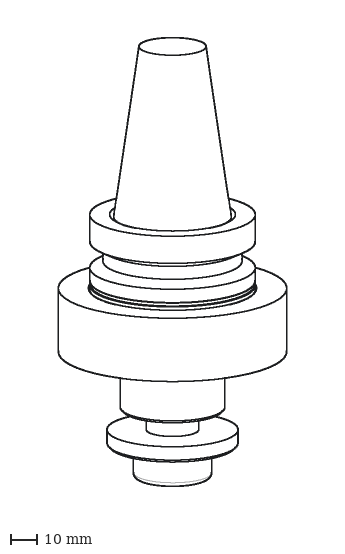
import cadquery as cq

total_height = 169.9
flange_top = 103.6
flange_bottom = 74.6
collar_bottom = 49.6
pilot_bottom = 26.7
washer_top = 18.9
washer_bottom = 12.5

taper_small_diameter = 25.7
taper_large_diameter = 44.9
flange_diameter = 63.0
grip_groove_diameter = 53.0
relief_diameter = 62.5
collar_diameter = 87.0
pilot_neck_diameter = 39.2
pilot_diameter = 40.0
stem_diameter = 20.0
washer_diameter = 50.0
screw_head_diameter = 29.9

recess_diameter = 47.9
recess_depth = 0.8

collar_recess_diameter = 64.0
collar_recess_depth = (collar_recess_diameter - flange_diameter) / 2

upper_rim_height = 10.7
groove_slope_height = 2.5
groove_floor_height = 5.1
relief_top = 77.5
relief_bottom = 75.8
relief_slope_height = (flange_diameter - relief_diameter) / 2

pilot_neck_height = 1.5
pilot_step_height = 1.0
pilot_step_width = (pilot_diameter - pilot_neck_diameter) / 2
pilot_chamfer = 1.0
washer_chamfer = 1.0
screw_head_fillet = 2.0


def cylinder(diameter, bottom, top):
    """Solid cylinder on the Z axis between two heights."""
    return cq.Workplane("XY").workplane(offset=bottom).circle(diameter / 2).extrude(top - bottom)


def make_shank():
    """Taper and grooved flange, revolved from one half profile."""
    rim_bottom = flange_top - upper_rim_height
    groove_top = rim_bottom - groove_slope_height
    groove_bottom = groove_top - groove_floor_height
    lower_rim_top = groove_bottom - groove_slope_height
    profile = [
        (0, flange_bottom),
        (flange_diameter / 2, flange_bottom),
        (flange_diameter / 2, relief_bottom),
        (relief_diameter / 2, relief_bottom + relief_slope_height),
        (relief_diameter / 2, relief_top - relief_slope_height),
        (flange_diameter / 2, relief_top),
        (flange_diameter / 2, lower_rim_top),
        (grip_groove_diameter / 2, groove_bottom),
        (grip_groove_diameter / 2, groove_top),
        (flange_diameter / 2, rim_bottom),
        (flange_diameter / 2, flange_top),
        (recess_diameter / 2, flange_top),
        (taper_large_diameter / 2, flange_top - recess_depth),
        (taper_small_diameter / 2, total_height),
        (0, total_height),
    ]
    return cq.Workplane("XZ").polyline(profile).close().revolve(360, (0, 0, 0), (0, 1, 0))


def make_pilot():
    """Locating pilot with an undercut neck below the collar."""
    pilot_top = collar_bottom - pilot_neck_height
    neck = cylinder(pilot_neck_diameter, pilot_top, collar_bottom)
    body = cylinder(pilot_diameter, pilot_bottom, pilot_top)
    body = body.faces(">Z").chamfer(pilot_step_height, pilot_step_width)
    body = body.faces("<Z").chamfer(pilot_chamfer)
    return neck.union(body)


def make_clamping_screw():
    """Stem, clamping washer and rounded head."""
    stem = cylinder(stem_diameter, washer_top, pilot_bottom)
    washer = cylinder(washer_diameter, washer_bottom, washer_top)
    washer = washer.faces("<Z").chamfer(washer_chamfer)
    head = cylinder(screw_head_diameter, 0, washer_bottom)
    head = head.faces("<Z").fillet(screw_head_fillet)
    return stem.union(washer).union(head)


def make_collar():
    """Wide collar with the recess around the flange root cut into its top face."""
    collar = cylinder(collar_diameter, collar_bottom, flange_bottom)
    recess_profile = [
        (flange_diameter / 2, flange_bottom),
        (collar_recess_diameter / 2, flange_bottom),
        (flange_diameter / 2, flange_bottom - collar_recess_depth),
    ]
    recess = cq.Workplane("XZ").polyline(recess_profile).close().revolve(360, (0, 0, 0), (0, 1, 0))
    return collar.cut(recess)


result = make_shank().union(make_collar()).union(make_pilot()).union(make_clamping_screw())